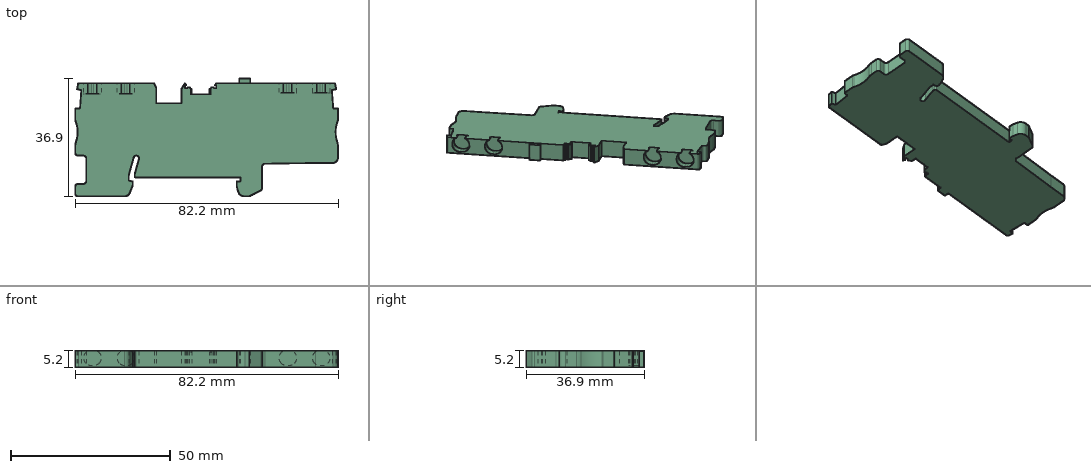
import cadquery as cq
import math

LENGTH = 82.2
THICKNESS = 5.2
TOP_Y = 35.4
RAIL_SEAT_Y = 5.9

SHOULDER_Y = 27.5
SHOULDER_WIDTH = 1.5
SHOULDER_RADIUS = 0.25
TOP_INSET = 0.9
END_LOWER_Y = 12.7
RIGHT_LOWER_Y = 10.2
RIGHT_LOWER_END_Y = 10.4
RIGHT_LOWER_RADIUS = 1.7
RIGHT_LEVEL_X = 75.05
GRIP_Y = 20.1
GRIP_RADIUS = 9.4
GRIP_DEPTH = 0.7
GRIP_UPPER_RADIUS = 1.2
GRIP_LOWER_RADIUS = 4.1

FOOT_TOP_Y = 3.95
FOOT_NECK_X = 3.45
TOE_X = 18.1
SLOT_TOP_Y = 12.7
SLOT_MOUTH_X = 18.6

HOOK_INNER_X = 51.6
HOOK_TIP_X = 50.5
HOOK_OUTER_X = 58.45
HOOK_OUTER_Y = 2.05

GAP_LEFT_X = 25.4
GAP_RIGHT_X = 33.2
GAP_FLOOR_Y = 29.2
SEAT_CENTER_X = 39.2
SEAT_FLOOR_Y = 32.0
SEAT_HALF_WIDTH = 3.1
LEDGE_WIDTH = 0.4
LEDGE_TOP_Y = 33.5
LEDGE_DEPTH = 0.4

TAB_LEFT_X = 51.3
TAB_RIGHT_X = 54.75
TAB_TOP_Y = 36.9
TAB_DEPTH = 0.1
TAB_OVERLAP = 0.8
TAB_CORNER_RADIUS = 0.25

BORE_RADIUS = 2.4
BORE_FLAT = 0.7
BORE_OPENING = 2.7
BORE_OFFSETS = (5.35, 15.8)
LEFT_BORE_LENGTH = 3.3
RIGHT_BORE_LENGTH = 3.05

CORNER_RADIUS = 0.9
SMALL_RADIUS = 0.4


def mirrored(points, axis_x):
    """Reflect points about a line of constant X and reverse their order."""
    return [(2 * axis_x - x, y) for x, y in reversed(points)]


def outline():
    """Closed profile of the housing, counter-clockwise from the lower left corner."""
    right_end = [
        (LENGTH, SHOULDER_Y),
        (LENGTH - SHOULDER_WIDTH, SHOULDER_Y),
        (LENGTH - 1.9, 33.2),
        (LENGTH - 0.6, 33.5),
        (LENGTH - TOP_INSET, TOP_Y),
    ]
    seat_right = [
        (SEAT_CENTER_X + 4.9, TOP_Y),
        (SEAT_CENTER_X + 4.4, 34.8),
        (SEAT_CENTER_X + 4.85, 34.7),
        (SEAT_CENTER_X + 4.85, 33.9),
        (SEAT_CENTER_X + 4.3, 33.9),
        (SEAT_CENTER_X + 3.95, 34.2),
        (SEAT_CENTER_X + 3.5, 34.2),
        (SEAT_CENTER_X + 2.8, LEDGE_TOP_Y),
        (SEAT_CENTER_X + SEAT_HALF_WIDTH, LEDGE_TOP_Y),
        (SEAT_CENTER_X + SEAT_HALF_WIDTH, SEAT_FLOOR_Y),
    ]
    return (
        cq.Workplane("XY")
        .moveTo(0, 0)
        .lineTo(15.4, 0)
        .threePointArc((16.4, 0.3), (17.1, 1.1))
        .lineTo(TOE_X, 3.6)
        .lineTo(TOE_X, 4.7)
        .lineTo(16.8, 5.0)
        .lineTo(16.8, 6.6)
        .lineTo(18.3, 12.2)
        .threePointArc((19.15, SLOT_TOP_Y), (19.9, 11.7))
        .lineTo(SLOT_MOUTH_X, 7.0)
        .lineTo(SLOT_MOUTH_X, RAIL_SEAT_Y)
        .lineTo(HOOK_INNER_X, RAIL_SEAT_Y)
        .lineTo(HOOK_INNER_X, 4.8)
        .lineTo(HOOK_TIP_X, 4.7)
        .lineTo(HOOK_TIP_X, 3.2)
        .lineTo(50.9, 1.65)
        .threePointArc((51.6, 0.5), (53.0, 0))
        .lineTo(54.4, 0)
        .lineTo(HOOK_OUTER_X, HOOK_OUTER_Y)
        .lineTo(HOOK_OUTER_X, RIGHT_LOWER_Y)
        .lineTo(RIGHT_LEVEL_X, RIGHT_LOWER_END_Y)
        .lineTo(LENGTH, RIGHT_LOWER_END_Y)
        .polyline(right_end, includeCurrent=True)
        .polyline(seat_right, includeCurrent=True)
        .polyline(mirrored(seat_right, SEAT_CENTER_X), includeCurrent=True)
        .lineTo(GAP_RIGHT_X, 33.6)
        .lineTo(GAP_RIGHT_X, GAP_FLOOR_Y)
        .lineTo(GAP_LEFT_X, GAP_FLOOR_Y)
        .lineTo(GAP_LEFT_X, 33.95)
        .lineTo(24.7, TOP_Y)
        .polyline(mirrored(right_end, LENGTH / 2), includeCurrent=True)
        .lineTo(0, END_LOWER_Y)
        .lineTo(FOOT_NECK_X, END_LOWER_Y)
        .lineTo(FOOT_NECK_X, FOOT_TOP_Y)
        .lineTo(0, FOOT_TOP_Y)
        .close()
    )


def round_corners(body, corners, radius):
    """Fillet the upright edges that stand at the given profile corners."""
    for x, y in corners:
        edge = cq.selectors.NearestToPointSelector((x, y, THICKNESS / 2))
        body = body.edges("|Z").edges(edge).fillet(radius)
    return body


def cut_grips(body):
    """Shallow round hollow in each end, with softened rims."""
    center_offset = GRIP_RADIUS - GRIP_DEPTH
    half_chord = math.sqrt(GRIP_RADIUS**2 - center_offset**2)
    centers = [(-center_offset, GRIP_Y), (LENGTH + center_offset, GRIP_Y)]
    hollows = cq.Workplane("XY").pushPoints(centers).circle(GRIP_RADIUS).extrude(THICKNESS)
    upper_rims = [(x, GRIP_Y + half_chord) for x in (0, LENGTH)]
    lower_rims = [(x, GRIP_Y - half_chord) for x in (0, LENGTH)]
    body = round_corners(body.cut(hollows), upper_rims, GRIP_UPPER_RADIUS)
    return round_corners(body, lower_rims, GRIP_LOWER_RADIUS)


def seat_ledges():
    """Thin ledges at the foot of both marker seat walls, set below the top face."""
    offset = SEAT_HALF_WIDTH - LEDGE_WIDTH / 2
    return (
        cq.Workplane("XY")
        .pushPoints([(SEAT_CENTER_X + side * offset, SEAT_FLOOR_Y) for side in (-1, 1)])
        .rect(LEDGE_WIDTH, 2 * (LEDGE_TOP_Y - SEAT_FLOOR_Y))
        .extrude(THICKNESS - LEDGE_DEPTH)
    )


def tab():
    """Small tab standing on the upper edge."""
    root_y = TOP_Y - TAB_OVERLAP
    return (
        cq.Workplane("XY")
        .moveTo(TAB_LEFT_X, root_y)
        .rect(TAB_RIGHT_X - TAB_LEFT_X, TAB_TOP_Y - root_y, centered=False)
        .extrude(THICKNESS - TAB_DEPTH)
        .edges("|Z and >Y")
        .fillet(TAB_CORNER_RADIUS)
    )


def bore(center_x, length):
    """Oblong bore from the upper edge; its crown is cut off by the top face."""
    opening_offset = (BORE_OPENING - BORE_FLAT) / 2
    depth = math.sqrt(BORE_RADIUS**2 - opening_offset**2)
    return (
        cq.Workplane("XZ", origin=(center_x, TOP_Y, THICKNESS - depth))
        .slot2D(BORE_FLAT + 2 * BORE_RADIUS, 2 * BORE_RADIUS)
        .extrude(length)
    )


housing = outline().extrude(THICKNESS)
housing = round_corners(
    housing,
    [
        (0, 0),
        (0, END_LOWER_Y),
        (FOOT_NECK_X, END_LOWER_Y),
        (FOOT_NECK_X, FOOT_TOP_Y),
        (0, FOOT_TOP_Y),
        (HOOK_OUTER_X, HOOK_OUTER_Y),
        (HOOK_OUTER_X, RIGHT_LOWER_Y),
    ],
    CORNER_RADIUS,
)
housing = round_corners(housing, [(LENGTH, RIGHT_LOWER_END_Y)], RIGHT_LOWER_RADIUS)
housing = round_corners(
    housing,
    [
        (SLOT_MOUTH_X, RAIL_SEAT_Y),
        (TOP_INSET, TOP_Y),
        (LENGTH - TOP_INSET, TOP_Y),
    ],
    SMALL_RADIUS,
)
housing = round_corners(
    housing,
    [(x, SHOULDER_Y) for x in (0, SHOULDER_WIDTH, LENGTH - SHOULDER_WIDTH, LENGTH)],
    SHOULDER_RADIUS,
)
housing = cut_grips(housing)
housing = housing.union(seat_ledges()).union(tab())

for bore_offset in BORE_OFFSETS:
    housing = housing.cut(bore(bore_offset, LEFT_BORE_LENGTH))
    housing = housing.cut(bore(LENGTH - bore_offset, RIGHT_BORE_LENGTH))

result = housing